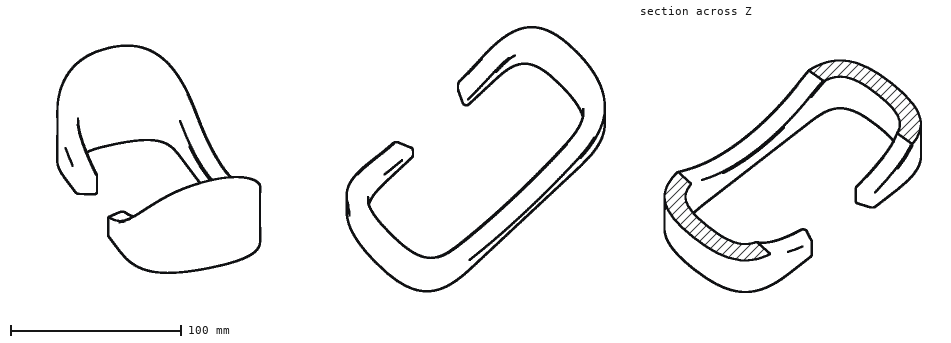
import cadquery as cq

HALF_LENGTH = 82.0
HALF_WIDTH = 42.0
WALL = 12.0
STRAIGHT_HALF = 45.0

OUTER_SIDE_HANDLE = 32.6
OUTER_RUN_HANDLE = 25.7
INNER_SIDE_HANDLE = 25.3
INNER_RUN_HANDLE = 17.6

SADDLE_RADIUS = 91.6
SADDLE_LOW_BACK = 12.3
SADDLE_LOW_FRONT = 8.7
TOP_EDGE_RADIUS = 0.6
BLANK_HEIGHT = 80.0

GAP_HALF_OUTER = 25.0
GAP_HALF_INNER = 19.6
END_OUTER_RADIUS = 3.0
END_INNER_RADIUS = 2.3


def rounded_outline(half_length, half_width, side_handle, run_handle):
    """Closed outline with straight runs and soft curved corners and sides."""

    def corner(sx, sy):
        return [
            (sx * half_length, 0),
            (sx * half_length, sy * side_handle),
            (sx * (STRAIGHT_HALF + run_handle), sy * half_width),
            (sx * STRAIGHT_HALF, sy * half_width),
        ]

    return (
        cq.Workplane("XY")
        .moveTo(half_length, 0)
        .bezier(corner(1, 1))
        .lineTo(-STRAIGHT_HALF, half_width)
        .bezier(corner(-1, 1)[::-1])
        .bezier(corner(-1, -1))
        .lineTo(STRAIGHT_HALF, -half_width)
        .bezier(corner(1, -1)[::-1])
        .close()
    )


def ring():
    outer = rounded_outline(HALF_LENGTH, HALF_WIDTH, OUTER_SIDE_HANDLE, OUTER_RUN_HANDLE)
    inner = rounded_outline(
        HALF_LENGTH - WALL, HALF_WIDTH - WALL, INNER_SIDE_HANDLE, INNER_RUN_HANDLE
    )
    return outer.extrude(BLANK_HEIGHT).cut(inner.extrude(BLANK_HEIGHT))


def front_gap():
    """Wedge that opens the front run, wider on the outside."""
    flare = GAP_HALF_OUTER - GAP_HALF_INNER
    y_out = -HALF_WIDTH - WALL
    y_in = -HALF_WIDTH + 2 * WALL
    half_out = GAP_HALF_OUTER + flare
    half_in = GAP_HALF_INNER - flare
    corners = [(-half_out, y_out), (half_out, y_out), (half_in, y_in), (-half_in, y_in)]
    return cq.Workplane("XY").polyline(corners).close().extrude(BLANK_HEIGHT)


def saddle():
    """Tilted cylinder that hollows the top."""
    rise = SADDLE_LOW_BACK - SADDLE_LOW_FRONT
    width_step = cq.Vector(0, 2 * HALF_WIDTH, rise)
    start = cq.Vector(0, -HALF_WIDTH, SADDLE_LOW_FRONT + SADDLE_RADIUS) - width_step
    cutter = cq.Solid.makeCylinder(SADDLE_RADIUS, 3 * width_step.Length, start, width_step)
    return cq.Workplane(cutter)


def end_edges(y):
    """Selector for the two upright corner edges of the ends that lie at the given Y."""
    margin = 1.0
    return cq.selectors.BoxSelector(
        (-GAP_HALF_OUTER - margin, y - margin, 0),
        (GAP_HALF_OUTER + margin, y + margin, BLANK_HEIGHT),
    )


def open_band():
    """Ring with the front opening and the corners of its ends rounded."""
    band = ring().cut(front_gap())
    band = band.edges(end_edges(-HALF_WIDTH)).fillet(END_OUTER_RADIUS)
    return band.edges(end_edges(WALL - HALF_WIDTH)).fillet(END_INNER_RADIUS)


def hollow_top(band):
    """Cut the saddle and round over every edge of the face it leaves."""
    hollowed = band.cut(saddle())
    return hollowed.faces("%CYLINDER").faces(">Z").edges().fillet(TOP_EDGE_RADIUS)


result = hollow_top(open_band())